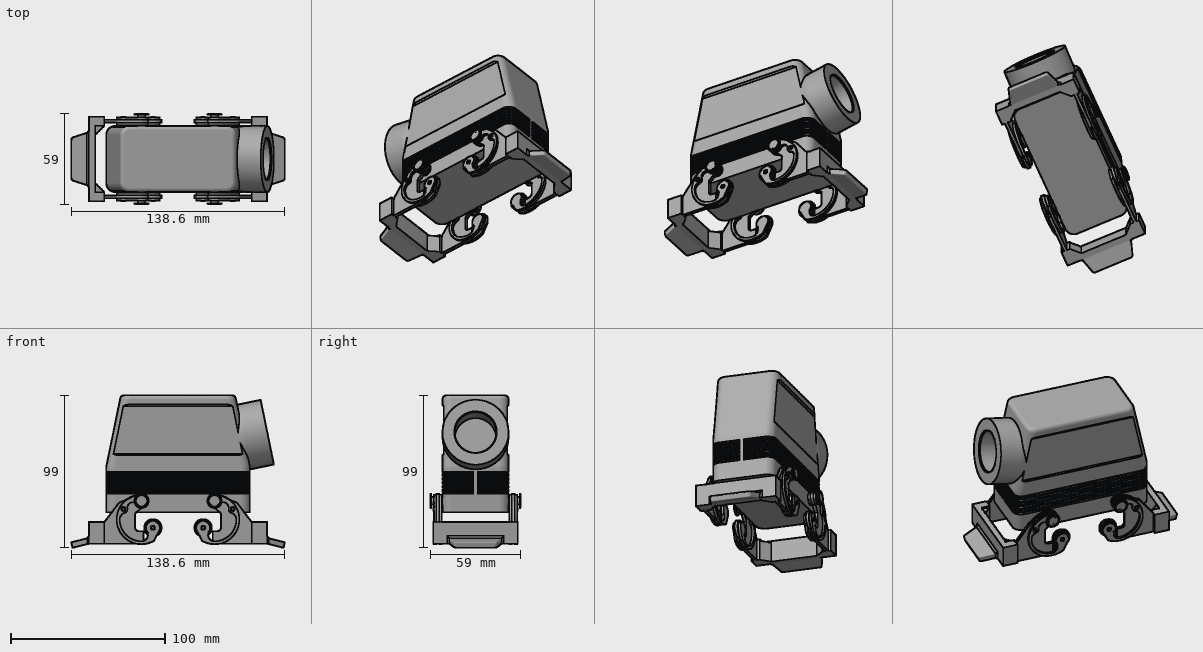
import cadquery as cq
import math

HOOD_LENGTH = 93.4
HOOD_WIDTH = 43.0
HOOD_HEIGHT = 76.1
TAPER_START = 29.55
TAPER_ANGLE = 11.6
TAPER_BLEND = 6.0
CORNER_RADIUS = 6.0
TOP_RADIUS = 2.7

RELIEF_DEPTH = 0.8
PANEL_TOP = 70.1
PANEL_TOP_SLOPE = 1.3
PANEL_BOTTOM = 37.2
PANEL_BOTTOM_SLOPE = 0.8

GROOVE_COUNT = 6
GROOVE_PITCH = 2.53
GROOVE_OPENING = 1.65
FIRST_GROOVE_BASE = 12.1
GRIP_BAR_WIDTH = 2.9

GLAND_DIAMETER = HOOD_WIDTH
GLAND_LENGTH = 15.0
GLAND_FACE_X = 58.0
GLAND_FACE_Z = 52.1
FAIRING_LENGTH = 5.7
BORE_DIAMETER = 26.9
BORE_DEPTH = 20.0
BORE_LEAD_IN_DEPTH = 0.9
BORE_LEAD_IN = 0.4

FRAME_WIDTH = 55.0
FRAME_OUTER_X = -57.9
FRAME_WEB = 4.3
FRAME_ARM_LENGTH = 10.1
FRAME_BOTTOM = -20.4
FRAME_HEIGHT = 14.3
FRAME_INNER_WIDTH = 43.1
GUSSET_LEG = 5.8
GUSSET_DROP = 1.1

CHEEK_INNER = 21.8
CHEEK_OUTER = 27.1
PLATE_INNER = 23.55
PLATE_OUTER = 25.6
KNOB_INNER = 28.6
KNOB_OUTER = 29.5
PIN_OUTER = 27.45

HOOK_X = -23.7
HOOK_Z = -4.55
HOOK_OUTER_RADIUS = 16.15
HOOK_INNER_RADIUS = 14.2
HOOK_THROAT_RADIUS = 4.05
PIVOT_RADIUS = 4.1
PLATE_PIVOT_RADIUS = 4.5
PIVOT_Z = HOOK_Z + HOOK_OUTER_RADIUS - PIVOT_RADIUS
PIVOT_STEM_RADIUS = 2.55
KNOB_RADIUS = 4.65
KNOB_FACE_RADIUS = 3.7
KNOB_RIM = 0.5
ROLLER_X = -16.3
ROLLER_Z = -10.0
ROLLER_RADIUS = 5.7
ROLLER_HUB_RADIUS = 4.5
PIN_X = -35.5
PIN_Z = 2.25
PIN_RADIUS = 1.35
PIN_CHAMFER = 0.3
PIN_BOSS_RADIUS = 2.7

TAB_ANGLE = 14.0
TAB_THICKNESS = 3.8
TAB_TIP_X = -69.43
TAB_ROOT_WIDTH = 34.4
TAB_SIDE_ANGLE = 17.5
TAB_TIP_RADIUS = 1.8
TAB_EDGE_RADIUS = 0.5
TAB_COLLAR = 1.2


def polar(x, z, radius, degrees):
    """Point on a circle about (x, z)."""
    angle = math.radians(degrees)
    return (x + radius * math.cos(angle), z + radius * math.sin(angle))


def slab(outline, inner, outer):
    """Extrude an XZ outline between two distances on the -Y side."""
    return outline.extrude(outer - inner).translate((0, -inner, 0))


def disc(x, z, radius, inner, outer):
    """Disc on the -Y side, its axis along Y."""
    return slab(cq.Workplane("XZ").center(x, z).circle(radius), inner, outer)


def hood_body():
    """Solid hood with leaning end walls and rounded edges."""
    half = HOOD_LENGTH / 2
    lean = (HOOD_HEIGHT - TAPER_START) * math.tan(math.radians(TAPER_ANGLE))
    body = (
        cq.Workplane("XZ")
        .moveTo(-half, 0)
        .lineTo(half, 0)
        .lineTo(half, TAPER_START)
        .lineTo(half - lean, HOOD_HEIGHT)
        .lineTo(lean - half, HOOD_HEIGHT)
        .lineTo(-half, TAPER_START)
        .close()
        .extrude(HOOD_WIDTH / 2, both=True)
    )
    kinks = cq.selectors.BoxSelector(
        (-HOOD_LENGTH, -HOOD_WIDTH, TAPER_START - 1),
        (HOOD_LENGTH, HOOD_WIDTH, TAPER_START + 1),
    )
    body = body.edges("|Y").edges(kinks).fillet(TAPER_BLEND)
    body = body.faces("<Y or >Y").edges("not #Z").fillet(CORNER_RADIUS)
    return body.faces(">Z").edges().fillet(TOP_RADIUS)


def side_panels():
    """Cutters for the shallow panel on each long side."""
    surface = HOOD_WIDTH / 2
    floor = surface - RELIEF_DEPTH
    panel = (
        cq.Workplane("YZ")
        .moveTo(-surface, PANEL_BOTTOM)
        .lineTo(-floor, PANEL_BOTTOM + PANEL_BOTTOM_SLOPE)
        .lineTo(-floor, PANEL_TOP - PANEL_TOP_SLOPE)
        .lineTo(-surface, PANEL_TOP)
        .close()
        .extrude(HOOD_LENGTH, both=True)
    )
    return panel.union(panel.mirror("XZ"))


def grip_grooves():
    """V groove cutters, each broken by a bar on the two end walls."""
    flank_height = GROOVE_OPENING / 2
    flank_angle = math.degrees(math.atan(RELIEF_DEPTH / flank_height))
    plan = cq.Sketch().rect(HOOD_LENGTH, HOOD_WIDTH).vertices().fillet(CORNER_RADIUS)
    lower_core = cq.Workplane("XY").placeSketch(plan).extrude(flank_height, taper=flank_angle)
    upper_core = lower_core.mirror("XY").translate((0, 0, GROOVE_OPENING))
    bar = cq.Workplane("XY").box(2 * HOOD_LENGTH, GRIP_BAR_WIDTH, 2 * GROOVE_OPENING)
    groove = (
        cq.Workplane("XY")
        .rect(2 * HOOD_LENGTH, 2 * HOOD_WIDTH)
        .extrude(GROOVE_OPENING)
        .cut(lower_core)
        .cut(upper_core)
        .cut(bar)
    )
    return [
        groove.translate((0, 0, FIRST_GROOVE_BASE + index * GROOVE_PITCH))
        for index in range(GROOVE_COUNT)
    ]


def gland_plane():
    """Plane of the gland's outer face, its normal along the gland axis."""
    angle = math.radians(TAPER_ANGLE)
    return cq.Plane(
        origin=(GLAND_FACE_X, 0, GLAND_FACE_Z),
        xDir=(0, 1, 0),
        normal=(math.cos(angle), 0, math.sin(angle)),
    )


def turned(profile):
    """Solid of revolution about the gland axis from (radius, depth) points."""
    plane = gland_plane()
    side = cq.Plane(origin=plane.origin, xDir=(0, 1, 0), normal=plane.xDir.cross(plane.zDir))
    points = [(radius, -depth) for radius, depth in profile]
    return cq.Workplane(side).polyline(points).close().revolve(360, (0, 0), (0, 1))


def gland():
    """Straight barrel with the fairing cone behind it."""
    radius = GLAND_DIAMETER / 2
    back = GLAND_LENGTH + FAIRING_LENGTH
    return turned(
        [(0, 0), (radius, 0), (radius, GLAND_LENGTH), (radius - RELIEF_DEPTH, back), (0, back)]
    )


def gland_bore():
    """Cutter for the blind bore and its lead-in cone."""
    radius = BORE_DIAMETER / 2
    return turned(
        [
            (0, 0),
            (radius + BORE_LEAD_IN, 0),
            (radius, BORE_LEAD_IN_DEPTH),
            (radius, BORE_DEPTH),
            (0, BORE_DEPTH),
        ]
    )


def lever_frame():
    """Cross bar with an arm at each end and low gussets in the inner corners."""
    arm_end = FRAME_OUTER_X + FRAME_ARM_LENGTH
    web_inner = FRAME_OUTER_X + FRAME_WEB
    half = FRAME_WIDTH / 2
    inner_half = FRAME_INNER_WIDTH / 2
    base = cq.Workplane("XY").workplane(offset=FRAME_BOTTOM)
    frame = (
        base.moveTo(FRAME_OUTER_X, -half)
        .lineTo(arm_end, -half)
        .lineTo(arm_end, -inner_half)
        .lineTo(web_inner, -inner_half)
        .lineTo(web_inner, inner_half)
        .lineTo(arm_end, inner_half)
        .lineTo(arm_end, half)
        .lineTo(FRAME_OUTER_X, half)
        .close()
        .extrude(FRAME_HEIGHT)
    )
    gusset = (
        base.moveTo(web_inner, -inner_half)
        .lineTo(web_inner + GUSSET_LEG, -inner_half)
        .lineTo(web_inner, -inner_half + GUSSET_LEG)
        .close()
        .extrude(FRAME_HEIGHT - GUSSET_DROP)
    )
    return frame.union(gusset).union(gusset.mirror("XZ"))


def finger_tab():
    """Tapered tab that slopes down from the lower edge of the cross bar."""
    slope = math.radians(TAB_ANGLE)
    buried = TAB_THICKNESS * math.tan(slope)
    length = (FRAME_OUTER_X - TAB_TIP_X) / math.cos(slope) - buried
    root_half = TAB_ROOT_WIDTH / 2
    narrowing = math.tan(math.radians(TAB_SIDE_ANGLE))
    tip_half = root_half - length * narrowing
    end_half = root_half + buried * narrowing
    tab = (
        cq.Workplane("XY")
        .moveTo(-length, -tip_half)
        .lineTo(buried, -end_half)
        .lineTo(buried, end_half)
        .lineTo(-length, tip_half)
        .close()
        .extrude(TAB_THICKNESS)
    )
    tab = tab.edges("|Z and <X").fillet(TAB_TIP_RADIUS)
    tab = tab.faces("<Z or >Z").edges("not >X").fillet(TAB_EDGE_RADIUS)
    return tab.rotate((0, 0, 0), (0, 1, 0), -TAB_ANGLE).translate((FRAME_OUTER_X, 0, FRAME_BOTTOM))


def tab_collar():
    """Flare between the cross bar and the top and sides of the finger tab."""
    slope = math.tan(math.radians(TAB_ANGLE))
    top = FRAME_BOTTOM + TAB_THICKNESS / math.cos(math.radians(TAB_ANGLE))
    half = TAB_ROOT_WIDTH / 2
    outer_half = half - TAB_COLLAR * math.tan(math.radians(TAB_SIDE_ANGLE))

    def upright_rectangle(half_width, height, x):
        corner = cq.Vector(x, -half_width, FRAME_BOTTOM)
        across = cq.Vector(0, 2 * half_width, 0)
        rise = cq.Vector(0, 0, height)
        points = [corner, corner + across, corner + across + rise, corner + rise]
        return cq.Wire.makePolygon(points, close=True)

    wide = upright_rectangle(half + TAB_COLLAR, top + TAB_COLLAR - FRAME_BOTTOM, FRAME_OUTER_X)
    narrow = upright_rectangle(
        outer_half, top - TAB_COLLAR * slope - FRAME_BOTTOM, FRAME_OUTER_X - TAB_COLLAR
    )
    return cq.Workplane(cq.Solid.makeLoft([wide, narrow], True))


def side_plate():
    """Flat plate that joins the frame to the pivot."""
    arm_end = FRAME_OUTER_X + FRAME_ARM_LENGTH
    outline = (
        cq.Workplane("XZ")
        .moveTo(arm_end, FRAME_BOTTOM)
        .lineTo(arm_end, FRAME_BOTTOM + FRAME_HEIGHT)
        .lineTo(-39.1, 5.2)
        .threePointArc((-38.35, 6.1), (-37.35, 6.75))
        .lineTo(*polar(HOOK_X, PIVOT_Z, PLATE_PIVOT_RADIUS, 115))
        .threePointArc(
            polar(HOOK_X, PIVOT_Z, PLATE_PIVOT_RADIUS, 0),
            polar(HOOK_X, PIVOT_Z, PLATE_PIVOT_RADIUS, -90),
        )
        .lineTo(-27.2, -0.1)
        .lineTo(-27.8, -0.9)
        .lineTo(-27.8, -10.1)
        .threePointArc((-27.2, -11.4), (-25.6, -12.1))
        .lineTo(-22.4, -12.1)
        .lineTo(-22.4, -17.0)
        .lineTo(-22.8, FRAME_BOTTOM)
        .close()
    )
    return slab(outline, PLATE_INNER, PLATE_OUTER)


def hook_cheek(inner, outer):
    """Crescent cheek on one face of the plate, running from the pivot round to the roller."""
    throat_z = HOOK_Z - HOOK_INNER_RADIUS + HOOK_THROAT_RADIUS
    outline = (
        cq.Workplane("XZ")
        .moveTo(*polar(HOOK_X, PIVOT_Z, PIVOT_RADIUS, 200))
        .threePointArc((-31.8, 5.6), (PIN_X + PIN_BOSS_RADIUS, PIN_Z))
        .threePointArc(
            polar(PIN_X, PIN_Z, PIN_BOSS_RADIUS, -45),
            polar(PIN_X, PIN_Z, PIN_BOSS_RADIUS, -85),
        )
        .threePointArc((-37.0, -1.9), (HOOK_X - HOOK_INNER_RADIUS, HOOK_Z))
        .threePointArc(
            polar(HOOK_X, HOOK_Z, HOOK_INNER_RADIUS, 225),
            (HOOK_X, HOOK_Z - HOOK_INNER_RADIUS),
        )
        .threePointArc(
            polar(HOOK_X, throat_z, HOOK_THROAT_RADIUS, -45),
            (HOOK_X + HOOK_THROAT_RADIUS, throat_z),
        )
        .lineTo(*polar(ROLLER_X, ROLLER_Z, ROLLER_HUB_RADIUS, 225))
        .threePointArc(
            polar(ROLLER_X, ROLLER_Z, ROLLER_HUB_RADIUS, 90),
            polar(ROLLER_X, ROLLER_Z, ROLLER_HUB_RADIUS, -20),
        )
        .lineTo(*polar(HOOK_X, HOOK_Z, HOOK_OUTER_RADIUS, -60))
        .threePointArc(
            polar(HOOK_X, HOOK_Z, HOOK_OUTER_RADIUS, 180),
            (HOOK_X, HOOK_Z + HOOK_OUTER_RADIUS),
        )
        .threePointArc(
            (HOOK_X + PIVOT_RADIUS, PIVOT_Z),
            polar(HOOK_X, PIVOT_Z, PIVOT_RADIUS, 200),
        )
        .close()
    )
    return slab(outline, inner, outer)


def knob():
    """Round head of the pivot with a bevelled face."""
    profile = (
        cq.Workplane("XY")
        .moveTo(HOOK_X, -KNOB_INNER)
        .lineTo(HOOK_X + KNOB_RADIUS, -KNOB_INNER)
        .lineTo(HOOK_X + KNOB_RADIUS, -KNOB_INNER - KNOB_RIM)
        .lineTo(HOOK_X + KNOB_FACE_RADIUS, -KNOB_OUTER)
        .lineTo(HOOK_X, -KNOB_OUTER)
        .close()
    )
    head = profile.revolve(360, (HOOK_X, 0), (HOOK_X, 1))
    return head.translate((0, 0, PIVOT_Z))


def lever_side():
    """Plate, hook cheeks, roller, pins and pivot on the -Y side."""
    side = side_plate()
    side = side.union(disc(ROLLER_X, ROLLER_Z, ROLLER_RADIUS, PLATE_INNER, PLATE_OUTER))
    side = side.union(hook_cheek(CHEEK_INNER, PLATE_INNER))
    side = side.union(hook_cheek(PLATE_OUTER, CHEEK_OUTER))
    for x, z in ((PIN_X, PIN_Z), (ROLLER_X, ROLLER_Z)):
        pin = disc(x, z, PIN_RADIUS, PLATE_INNER, PIN_OUTER)
        side = side.union(pin.faces("<Y").chamfer(PIN_CHAMFER))
    side = side.union(knob())
    stem_start = HOOD_WIDTH / 2 - PIVOT_STEM_RADIUS
    return side.union(disc(HOOK_X, PIVOT_Z, PIVOT_STEM_RADIUS, stem_start, KNOB_INNER))


def lever():
    """Complete lever at the -X end."""
    side = lever_side()
    bar = lever_frame().union(finger_tab()).union(tab_collar())
    return bar.union(side).union(side.mirror("XZ"))


hood = hood_body().cut(side_panels())
for groove in grip_grooves():
    hood = hood.cut(groove)
hood = hood.union(gland()).cut(gland_bore())

left_lever = lever()
result = hood.union(left_lever).union(left_lever.mirror("YZ"))